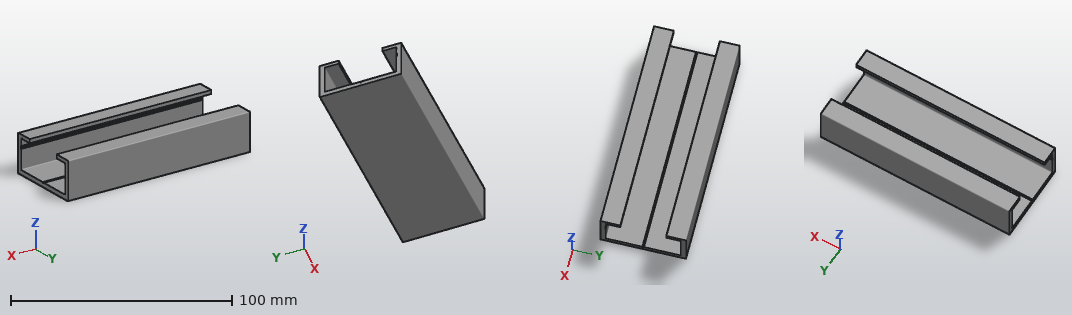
import cadquery as cq

length = 100.0
width = 40.0
height = 20.0

side_wall = 2.5
floor_thickness = 2.5
lip_thickness = 2.0
slot_width = 21.4

outer_radius = 0.5
inner_radius = 0.5

groove_width = 0.8
groove_depth = 0.4
wall_groove_heights = (13.0, 14.0)
wall_groove_width = 0.5
wall_groove_depth = 0.3

cavity_width = width - 2 * side_wall
cavity_height = height - floor_thickness - lip_thickness


def bar(y_size, z_size, z_bottom):
    """Full-length bar centred across the width."""
    return (
        cq.Workplane("XY")
        .box(length, y_size, z_size, centered=(True, True, False))
        .translate((0, 0, z_bottom))
    )


def groove_cutter(outline):
    """Full-length cutter with the given YZ outline."""
    return cq.Workplane("YZ").polyline(outline).close().extrude(length / 2, both=True)


def floor_groove():
    """V-shaped cutter running along the middle of the floor."""
    return groove_cutter([
        (-groove_width / 2, floor_thickness),
        (groove_width / 2, floor_thickness),
        (0, floor_thickness - groove_depth),
    ])


def wall_groove(groove_height):
    """V-shaped cutter running along the inside of the -Y wall."""
    wall_face = -cavity_width / 2
    return groove_cutter([
        (wall_face, groove_height - wall_groove_width / 2),
        (wall_face, groove_height + wall_groove_width / 2),
        (wall_face - wall_groove_depth, groove_height),
    ])


body = bar(width, height, 0).edges("|X").fillet(outer_radius)
cavity = bar(cavity_width, cavity_height, floor_thickness).edges("|X").fillet(inner_radius)
slot = bar(slot_width, height - floor_thickness - inner_radius, floor_thickness + inner_radius)

result = body.cut(cavity).cut(slot).cut(floor_groove())
for groove_height in wall_groove_heights:
    result = result.cut(wall_groove(groove_height))
result = result.translate((0, 0, -height / 2))